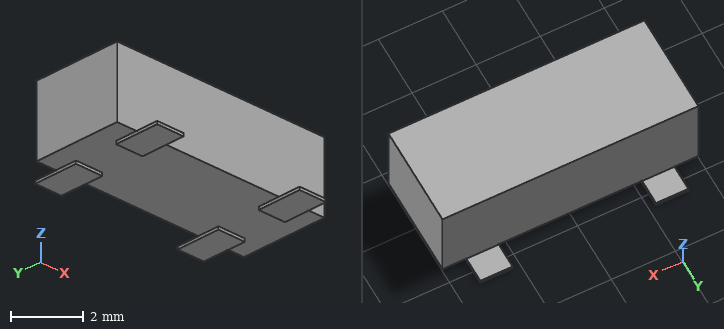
import cadquery as cq

housing_length = 8.0
housing_width = 3.2
total_height = 2.64

lead_thickness = 0.1
lead_width = 1.02
lead_length = 1.62
lead_pitch = 5.49
lead_tip_span = 4.84

housing_height = total_height - lead_thickness


def make_housing():
    """Plain block resting on top of the leads."""
    return cq.Workplane("XY", origin=(0, 0, lead_thickness)).box(
        housing_length, housing_width, housing_height, centered=(True, True, False)
    )


def make_lead(x, y):
    """Flat strip lying on Z = 0, centred on (x, y)."""
    return cq.Workplane("XY", origin=(x, y, 0)).box(
        lead_width, lead_length, lead_thickness, centered=(True, True, False)
    )


housing = make_housing()

lead_x = lead_pitch / 2
lead_y = (lead_tip_span - lead_length) / 2
leads = [make_lead(x, y) for x in (-lead_x, lead_x) for y in (-lead_y, lead_y)]

result = cq.Compound.makeCompound([housing.val(), *[lead.val() for lead in leads]])